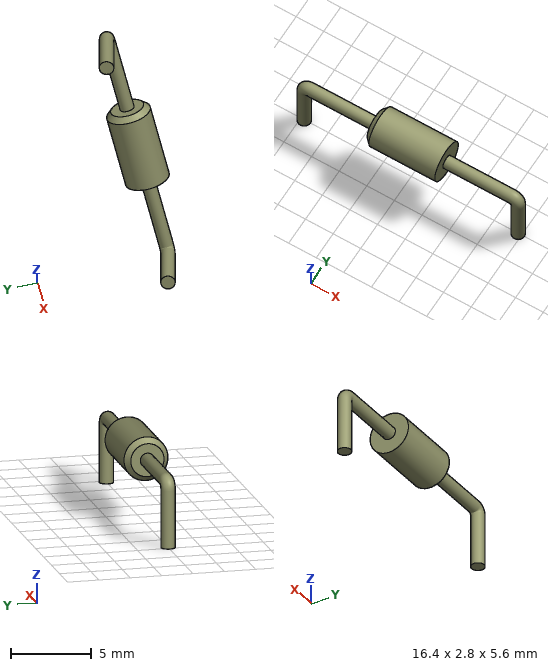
import cadquery as cq

overall_length = 16.4
body_diameter = 2.8
body_length = 5.12
body_chamfer = 0.35
lead_diameter = 0.9
bend_radius = 0.46
overall_height = 5.6

body_half_length = body_length / 2
lead_radius = lead_diameter / 2
leg_x = overall_length / 2 - lead_radius
bend_x = leg_x - bend_radius
bend_z = -bend_radius
leg_bottom_z = body_diameter / 2 - overall_height


def make_body():
    """Cylinder along X with a chamfered rim on its -X end."""
    return (
        cq.Workplane("YZ")
        .workplane(offset=-body_half_length)
        .circle(body_diameter / 2)
        .extrude(body_length)
        .faces("<X")
        .edges()
        .chamfer(body_chamfer)
    )


def make_lead(side):
    """Round wire from one body end, turned down 90 degrees; side is -1 or +1 along X."""
    arm = (
        cq.Workplane("YZ")
        .workplane(offset=body_half_length)
        .circle(lead_radius)
        .extrude(bend_x - body_half_length)
    )
    elbow = (
        cq.Workplane("YZ")
        .workplane(offset=bend_x)
        .circle(lead_radius)
        .revolve(90, (-0.16, bend_z), (0.16, bend_z))
    )
    leg = (
        cq.Workplane("XY")
        .workplane(offset=leg_bottom_z)
        .center(leg_x, 0)
        .circle(lead_radius)
        .extrude(bend_z - leg_bottom_z)
    )
    lead = arm.union(elbow).union(leg)
    return lead if side > 0 else lead.mirror("YZ")


body = make_body()
leads = [make_lead(side) for side in (-1, 1)]

result = cq.Compound.makeCompound([body.solids().val(), *[lead.solids().val() for lead in leads]])